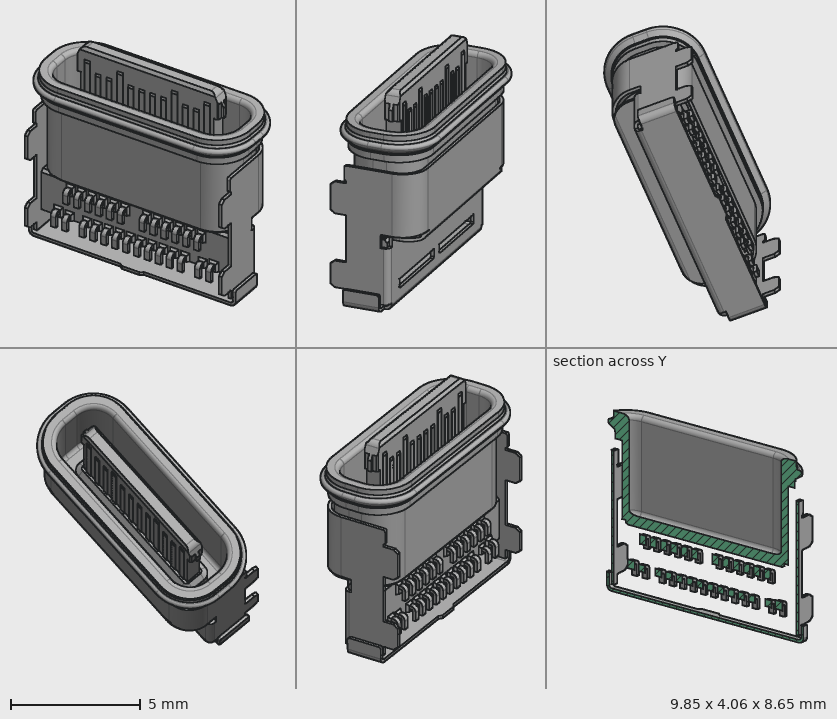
import cadquery as cq
import math


CORE_X = 3.18
CORE_Y = 0.285
BODY_OFFSET = 1.205
COLLAR_OFFSET = 1.445
RIM_OFFSET = 1.51
SEAL_ROOT_OFFSET = 1.47
SEAL_SHOULDER_OFFSET = 1.56
SEAL_OFFSET = 1.745
CAVITY_OFFSET = 0.99
CAVITY_LEAD_IN = 0.2
CAVITY_FLOOR_FILLET = 0.19

BODY_BOTTOM = 2.94
BODY_SKIRT = 3.107
BODY_STEP = 0.12
BODY_FOOT_REAR = 0.12
BODY_BOTTOM_CHAMFER = 0.07
CAVITY_FLOOR = 3.4
COLLAR_BOTTOM = 6.36
COLLAR_TOP = 6.67
SEAL_LOW = 6.74
SEAL_CREST = 6.95
SEAL_HIGH = 7.16
SEAL_TOP_FILLET = 0.14
SEAL_CREST_FILLET = 0.12
RIM_BOTTOM = 7.28
RIM_TOP = 7.51

TONGUE_TOP = 8.65
TONGUE_HALF_THICKNESS = 0.31
TONGUE_HALF_WIDTH = 3.25
TONGUE_TIP_HALF_WIDTH = 3.04
TONGUE_TIP_RADIUS = 0.3
TONGUE_RIB_HALF_WIDTH = 3.35
TONGUE_RIB_HALF_THICKNESS = 0.08
TONGUE_TAPER_START = 7.95
TONGUE_TIP_BEVEL_Y = 0.1
TONGUE_TIP_BEVEL_Z = 0.15
TONGUE_CORNER_CHAMFER = 0.05
TONGUE_NECK_HALF_WIDTH = 3.05
TONGUE_NOTCH_TOP = 7.48
TONGUE_BASE_HALF_THICKNESS = 0.655
TONGUE_BASE_HEIGHT = 1.2
TONGUE_BASE_BEVEL = 0.23
TONGUE_BASE_CORNER = 0.36

CONTACT_PITCH = 0.5
CONTACT_COUNT = 12
LONG_CONTACTS = (0, 3, 8, 11)
LONG_CONTACT_TOP = 8.11
SHORT_CONTACT_TOP = 7.65
LONG_CONTACT_WIDTH = 0.265
SHORT_CONTACT_WIDTH = 0.24
CONTACT_PROUD = 0.035
CONTACT_TIP_BEVEL = 0.1

SHEET = 0.14
SHELL_HALF_WIDTH = 4.525
SHELL_TOP = 5.85
SHELL_BACK = 1.62
SHELL_CORNER = 1.05
SIDE_BOTTOM_REAR = 3.22
SIDE_FRONT = -1.36
SIDE_NECK_BACK = 0.1
SIDE_NECK_FILLET = 0.06
EAR_FRONT = -1.44
EAR_BOTTOM = 5.27
EAR_FILLET = 0.09
SHELF_BOTTOM = BODY_BOTTOM
SHELF_HALF_WIDTH = 4.19
SHELF_CORNER = 0.87
SHELF_REAR_BEND = 0.18
LOWER_BACK = 0.45
LOWER_CORNER = 0.24
LOWER_TOP = 2.65
LOWER_BOTTOM = 0.3
LOWER_BEND_HALF_WIDTH = 4.235
FLOOR_FRONT = -1.385
SHELL_BEND = 0.26

TAB_REACH = -2.02
TAB_CORNER_Y = 0.19
TAB_CORNER_Z = 0.14
TAB_ROOT_FILLET = 0.04
UPPER_TAB_BOTTOM = 3.78
UPPER_TAB_TOP = 5.11
LOWER_TAB_BOTTOM = 0.69
LOWER_TAB_TOP = 1.8

FOOT_HALF_WIDTH = 4.755
FOOT_TOP = 0.757
FOOT_BACK = 0.12
FOOT_BEND = 0.26
FOOT_CORNER = 0.08

LIP_REACH = -1.49
LIP_TIP_HALF_WIDTH = 0.4
LIP_ROOT_HALF_WIDTH = 0.54

WINDOW_INNER = 0.25
WINDOW_OUTER = 3.51
WINDOW_BOTTOM = 0.656
WINDOW_TOP = 1.04
WINDOW_CHAMFER = 0.06

BLOCK_HALF_WIDTH = 4.36
BLOCK_FRONT = -1.1
BLOCK_BOTTOM = 1.137
BLOCK_CHAMFER = 0.12

TERMINAL_WIDTH = 0.24
TERMINAL_THICKNESS = 0.14
TERMINAL_FRONT = -1.49
TERMINAL_BEND = 0.21
UPPER_TERMINAL_BOTTOM = 2.06
LOWER_TERMINAL_BOTTOM = 0.817
BOSS_WIDTH = 0.43
END_BOSS_WIDTH = 0.47
BOSS_LENGTH = 0.12
BOSS_WALL_SLOPE = 0.095
UPPER_BOSS_TOP = 2.75
UPPER_BOSS_BOTTOM = 2.28
LOWER_BOSS_TOP = 1.505
END_BOSS_TOP = 1.575
UPPER_TERMINALS = (0.5, 1.0, 1.5, 2.0, 2.5, 3.0)
LOWER_TERMINALS = (0.25, 0.75, 1.25, 1.75, 2.25, 3.05)
END_TERMINAL = 3.56

OVERLAP = 0.02


def rounded_outline(plane, corners):
    """Closed outline through corners (u, v, radius); radius 0 leaves the corner sharp."""
    stretches = []
    for index, (u, v, radius) in enumerate(corners):
        corner = cq.Vector(u, v)
        before = cq.Vector(*corners[index - 1][:2]) - corner
        after = cq.Vector(*corners[(index + 1) % len(corners)][:2]) - corner
        if radius == 0:
            stretches.append((corner,))
            continue
        half_angle = before.getAngle(after) / 2
        setback = radius / math.tan(half_angle)
        bisector = (before.normalized() + after.normalized()).normalized()
        middle = corner + bisector * (radius / math.sin(half_angle) - radius)
        start = corner + before.normalized() * setback
        end = corner + after.normalized() * setback
        stretches.append((start, middle, end))

    first = stretches[0][0]
    outline = cq.Workplane(plane).moveTo(first.x, first.y)
    for number, stretch in enumerate(stretches):
        if number > 0:
            outline = outline.lineTo(stretch[0].x, stretch[0].y)
        if len(stretch) == 3:
            outline = outline.threePointArc(stretch[1].toTuple()[:2], stretch[2].toTuple()[:2])
    return outline.close()


def box(x_range, y_range, z_range):
    """Block spanning the given ranges."""
    size = [high - low for low, high in (x_range, y_range, z_range)]
    origin = (x_range[0], y_range[0], z_range[0])
    return cq.Workplane("XY").box(*size, centered=False).translate(origin)


def both_sides(shape):
    """The shape together with its mirror image across X = 0."""
    return shape.union(shape.mirror("YZ"))


def ring(offset, bottom, top, top_offset=None):
    """Rounded-rectangle prism around the core; it tapers when top_offset differs."""
    height = top - bottom
    taper = 0
    if top_offset is not None:
        taper = math.degrees(math.atan2(offset - top_offset, height))
    blank = cq.Sketch().rect(2 * (CORE_X + offset), 2 * (CORE_Y + offset)).vertices().fillet(offset)
    return cq.Workplane("XY", origin=(0, 0, bottom)).placeSketch(blank).extrude(height, taper=taper)


def edges_within(offset, height):
    """Selector for horizontal edges at the given height, no further out than the offset."""
    reach_x = CORE_X + offset + OVERLAP
    reach_y = CORE_Y + offset + OVERLAP
    return cq.selectors.BoxSelector(
        (-reach_x, -reach_y, height - OVERLAP), (reach_x, reach_y, height + OVERLAP), boundingbox=True
    )


def make_seal():
    """Rounded sealing bead that narrows toward the collar."""
    lower = ring(SEAL_ROOT_OFFSET, SEAL_LOW, SEAL_CREST, SEAL_OFFSET)
    upper = ring(SEAL_OFFSET, SEAL_CREST, SEAL_HIGH)
    seal = lower.union(upper).faces(">Z").edges().fillet(SEAL_TOP_FILLET)
    return seal.edges(edges_within(SEAL_OFFSET, SEAL_CREST)).fillet(SEAL_CREST_FILLET)


def make_body():
    """Stack of rings with a seal, hollowed from the top; the foot leaves room for the shell's shelf."""
    foot = ring(BODY_OFFSET - BODY_STEP, BODY_BOTTOM, BODY_SKIRT).faces("<Z").chamfer(BODY_BOTTOM_CHAMFER)
    shelf_space = box(
        (-SHELL_HALF_WIDTH, SHELL_HALF_WIDTH), (BODY_FOOT_REAR, SHELL_BACK), (BODY_BOTTOM, BODY_SKIRT)
    )
    foot = foot.cut(shelf_space)
    lower = ring(BODY_OFFSET, BODY_SKIRT, COLLAR_BOTTOM).union(foot)
    collar = ring(COLLAR_OFFSET, COLLAR_BOTTOM, COLLAR_TOP)
    root = ring(SEAL_ROOT_OFFSET, COLLAR_TOP, SEAL_LOW)
    shoulder = ring(SEAL_SHOULDER_OFFSET, SEAL_HIGH, RIM_BOTTOM, RIM_OFFSET)
    rim = ring(RIM_OFFSET, RIM_BOTTOM, RIM_TOP)
    cavity = ring(CAVITY_OFFSET, CAVITY_FLOOR, RIM_TOP).faces("<Z").edges().fillet(CAVITY_FLOOR_FILLET)
    body = lower.union(collar).union(root).union(make_seal()).union(shoulder).union(rim)
    return body.cut(cavity).edges(edges_within(CAVITY_OFFSET, RIM_TOP)).fillet(CAVITY_LEAD_IN)


def make_contact(x, width, top):
    """Contact strip standing proud of both tongue faces, with a bevelled tip."""
    reach = TONGUE_HALF_THICKNESS + CONTACT_PROUD
    inner = TONGUE_HALF_THICKNESS
    strip = (
        cq.Workplane("YZ")
        .polyline([
            (-reach, CAVITY_FLOOR), (reach, CAVITY_FLOOR), (reach, top - CONTACT_TIP_BEVEL),
            (inner, top), (-inner, top), (-reach, top - CONTACT_TIP_BEVEL),
        ])
        .close()
        .extrude(width / 2, both=True)
    )
    return strip.translate((x, 0, 0))


def tongue_profile(thickness):
    """Tongue outline seen along Y, out to the end ribs, with a notched-in neck below them."""
    right_edge = [
        (TONGUE_NECK_HALF_WIDTH, CAVITY_FLOOR - OVERLAP, 0),
        (TONGUE_NECK_HALF_WIDTH, TONGUE_NOTCH_TOP, 0),
        (TONGUE_RIB_HALF_WIDTH, TONGUE_NOTCH_TOP, 0),
        (TONGUE_RIB_HALF_WIDTH, TONGUE_TAPER_START, 0),
        (TONGUE_TIP_HALF_WIDTH, TONGUE_TOP, TONGUE_TIP_RADIUS),
    ]
    left_edge = [(-x, z, radius) for x, z, radius in reversed(right_edge)]
    return rounded_outline("XZ", right_edge + left_edge).extrude(thickness / 2, both=True)


def make_tongue():
    """Tongue with tapered ends, a thicker bevelled base and a row of contacts on both faces."""
    bottom = CAVITY_FLOOR - OVERLAP
    plate = (
        cq.Workplane("XY", origin=(0, 0, bottom))
        .rect(2 * TONGUE_HALF_WIDTH, 2 * TONGUE_HALF_THICKNESS)
        .extrude(TONGUE_TOP - bottom)
        .edges("|Z")
        .chamfer(TONGUE_CORNER_CHAMFER)
        .intersect(tongue_profile(2 * TONGUE_HALF_THICKNESS))
    )
    half = TONGUE_HALF_THICKNESS
    tip = half - TONGUE_TIP_BEVEL_Y
    bevel_start = TONGUE_TOP - TONGUE_TIP_BEVEL_Z
    section = (
        cq.Workplane("YZ")
        .polyline([
            (-half, bottom), (half, bottom), (half, bevel_start),
            (tip, TONGUE_TOP), (-tip, TONGUE_TOP), (-half, bevel_start),
        ])
        .close()
        .extrude(TONGUE_RIB_HALF_WIDTH, both=True)
    )
    base = (
        cq.Workplane("XY", origin=(0, 0, bottom))
        .rect(2 * TONGUE_RIB_HALF_WIDTH, 2 * TONGUE_BASE_HALF_THICKNESS)
        .extrude(TONGUE_BASE_HEIGHT)
        .edges("|Z")
        .fillet(TONGUE_BASE_CORNER)
        .faces(">Z")
        .chamfer(TONGUE_BASE_BEVEL)
    )
    tongue = plate.union(tongue_profile(2 * TONGUE_RIB_HALF_THICKNESS)).intersect(section).union(base)
    for index in range(CONTACT_COUNT):
        x = (index - (CONTACT_COUNT - 1) / 2) * CONTACT_PITCH
        if index in LONG_CONTACTS:
            tongue = tongue.union(make_contact(x, LONG_CONTACT_WIDTH, LONG_CONTACT_TOP))
        else:
            tongue = tongue.union(make_contact(x, SHORT_CONTACT_WIDTH, SHORT_CONTACT_TOP))
    return tongue


def wrap(back, corner, bottom, top):
    """Sheet wall open to the front: two sides joined by a back with rounded corners."""
    depth = back - TAB_REACH

    def prism(half_width, rear, radius):
        blank = cq.Workplane("XY", origin=(0, rear - depth / 2, bottom)).rect(2 * half_width, depth)
        return blank.extrude(top - bottom).edges("|Z and >Y").fillet(radius)

    outer = prism(SHELL_HALF_WIDTH, back, corner)
    return outer.cut(prism(SHELL_HALF_WIDTH - SHEET, back - SHEET, corner - SHEET))


def tab_corners(bottom, top):
    """Corners of one board tab, from its bottom root to its top root."""
    return [
        (SIDE_FRONT, bottom, TAB_ROOT_FILLET),
        (TAB_REACH + TAB_CORNER_Y, bottom, 0),
        (TAB_REACH, bottom + TAB_CORNER_Z, 0),
        (TAB_REACH, top - TAB_CORNER_Z, 0),
        (TAB_REACH + TAB_CORNER_Y, top, 0),
        (SIDE_FRONT, top, TAB_ROOT_FILLET),
    ]


def side_outline():
    """Outline, seen along X, that the folded shell walls are trimmed to."""
    corners = [
        (SHELL_BACK, SHELL_TOP, 0),
        (SHELL_BACK, SIDE_BOTTOM_REAR, 0),
        (SIDE_NECK_BACK, SIDE_BOTTOM_REAR, SIDE_NECK_FILLET),
        (SIDE_NECK_BACK, LOWER_TOP, 0),
        (LOWER_BACK, LOWER_TOP, 0),
        (LOWER_BACK, LOWER_BOTTOM, 0),
        (SIDE_FRONT, LOWER_BOTTOM, 0),
    ]
    corners += tab_corners(LOWER_TAB_BOTTOM, LOWER_TAB_TOP)
    corners += tab_corners(UPPER_TAB_BOTTOM, UPPER_TAB_TOP)
    corners += [
        (SIDE_FRONT, EAR_BOTTOM - (SIDE_FRONT - EAR_FRONT), 0),
        (EAR_FRONT, EAR_BOTTOM, 0),
        (EAR_FRONT, SHELL_TOP, EAR_FILLET),
    ]
    return rounded_outline("YZ", corners).extrude(SHELL_HALF_WIDTH, both=True)


def strip(corners, half_width):
    """Folded sheet strip with the given YZ section, centred on X = 0."""
    return rounded_outline("YZ", corners).extrude(half_width, both=True)


def make_windows():
    """Two openings in the lower back wall, chamfered at their bottom corners."""
    window = (
        box((WINDOW_INNER, WINDOW_OUTER), (LOWER_BACK - SHEET, LOWER_BACK), (WINDOW_BOTTOM, WINDOW_TOP))
        .edges("|Y and <Z")
        .chamfer(WINDOW_CHAMFER)
    )
    return both_sides(window)


def make_shell():
    """Folded sheet: side walls and backs, the shelf between the two backs, and the floor with its feet."""
    upper = wrap(SHELL_BACK, SHELL_CORNER, LOWER_TOP, SHELL_TOP)
    lower = wrap(LOWER_BACK, LOWER_CORNER, LOWER_BOTTOM, LOWER_TOP)
    walls = upper.union(lower).intersect(side_outline())

    inner_bend = SHELL_BEND - SHEET
    shelf_top = SHELF_BOTTOM + SHEET
    shelf = strip([
        (SHELL_BACK, SIDE_BOTTOM_REAR, 0),
        (SHELL_BACK, SHELF_BOTTOM, SHELF_REAR_BEND),
        (LOWER_BACK, SHELF_BOTTOM, 0),
        (LOWER_BACK, LOWER_TOP, 0),
        (LOWER_BACK - SHEET, LOWER_TOP, 0),
        (LOWER_BACK - SHEET, shelf_top, inner_bend),
        (SHELL_BACK - SHEET, shelf_top, SHELF_REAR_BEND - SHEET),
        (SHELL_BACK - SHEET, SIDE_BOTTOM_REAR, 0),
    ], SHELF_HALF_WIDTH)
    shelf_plan = box(
        (-SHELF_HALF_WIDTH, SHELF_HALF_WIDTH),
        (SIDE_NECK_BACK, SHELL_BACK),
        (LOWER_TOP, SIDE_BOTTOM_REAR),
    )
    shelf = shelf.intersect(shelf_plan.edges("|Z and >Y").fillet(SHELF_CORNER))
    floor = strip([
        (LOWER_BACK, LOWER_BOTTOM, 0),
        (LOWER_BACK, 0, SHELL_BEND),
        (FLOOR_FRONT, 0, 0),
        (FLOOR_FRONT, SHEET, 0),
        (LOWER_BACK - SHEET, SHEET, inner_bend),
        (LOWER_BACK - SHEET, LOWER_BOTTOM, 0),
    ], LOWER_BEND_HALF_WIDTH)
    return walls.union(shelf).union(floor).union(make_lip()).union(make_feet()).cut(make_windows())


def make_lip():
    """Small trapezoid at the middle of the floor's front edge."""
    return (
        cq.Workplane("XY")
        .polyline([
            (-LIP_ROOT_HALF_WIDTH, FLOOR_FRONT), (-LIP_TIP_HALF_WIDTH, LIP_REACH),
            (LIP_TIP_HALF_WIDTH, LIP_REACH), (LIP_ROOT_HALF_WIDTH, FLOOR_FRONT),
        ])
        .close()
        .extrude(SHEET)
    )


def make_feet():
    """Upturned flanges at both ends of the floor."""
    foot_inner = FOOT_HALF_WIDTH - SHEET
    root = LOWER_BEND_HALF_WIDTH - OVERLAP
    foot = rounded_outline(cq.Plane.XZ((0, FOOT_BACK, 0)), [
        (root, 0, 0),
        (FOOT_HALF_WIDTH, 0, FOOT_BEND),
        (FOOT_HALF_WIDTH, FOOT_TOP, 0),
        (foot_inner, FOOT_TOP, 0),
        (foot_inner, SHEET, FOOT_BEND - SHEET),
        (root, SHEET, 0),
    ]).extrude(FOOT_BACK - FLOOR_FRONT)
    return both_sides(foot.edges("|X and >Z").fillet(FOOT_CORNER))


def make_block():
    """Plastic block that carries the solder terminals."""
    block = box(
        (-BLOCK_HALF_WIDTH, BLOCK_HALF_WIDTH),
        (BLOCK_FRONT, LOWER_BACK - SHEET),
        (BLOCK_BOTTOM, BODY_BOTTOM + OVERLAP),
    )
    return block.edges("|X and >Z").chamfer(BLOCK_CHAMFER)


def make_terminal(x, boss_width, boss_top, boss_bottom, tip_bottom):
    """Solder terminal with the tapered boss it leaves the block through."""
    root_half = boss_width / 2
    tip_half = root_half - BOSS_WALL_SLOPE
    boss = (
        cq.Workplane("XY", origin=(x, BLOCK_FRONT + OVERLAP, boss_bottom))
        .polyline([
            (-root_half, 0), (root_half, 0), (tip_half, -BOSS_LENGTH), (-tip_half, -BOSS_LENGTH),
        ])
        .close()
        .extrude(boss_top - boss_bottom)
        .faces("<Y")
        .edges(">Z")
        .chamfer(BOSS_WALL_SLOPE, BOSS_LENGTH - OVERLAP)
    )
    top = boss_top - BOSS_WALL_SLOPE
    root = BLOCK_FRONT + OVERLAP
    terminal = rounded_outline("YZ", [
        (root, top, 0),
        (TERMINAL_FRONT, top, TERMINAL_BEND),
        (TERMINAL_FRONT, tip_bottom, 0),
        (TERMINAL_FRONT + TERMINAL_THICKNESS, tip_bottom, 0),
        (TERMINAL_FRONT + TERMINAL_THICKNESS, top - TERMINAL_THICKNESS, TERMINAL_BEND - TERMINAL_THICKNESS),
        (root, top - TERMINAL_THICKNESS, 0),
    ])
    terminal = terminal.extrude(TERMINAL_WIDTH / 2, both=True).translate((x, 0, 0))
    return boss.union(terminal)


def make_terminal_block():
    """Block with its upper and lower rows of terminals, symmetric about X = 0."""
    terminals = []
    for x in UPPER_TERMINALS:
        terminals.append(
            make_terminal(x, BOSS_WIDTH, UPPER_BOSS_TOP, UPPER_BOSS_BOTTOM, UPPER_TERMINAL_BOTTOM)
        )
    for x in LOWER_TERMINALS:
        terminals.append(make_terminal(x, BOSS_WIDTH, LOWER_BOSS_TOP, BLOCK_BOTTOM, LOWER_TERMINAL_BOTTOM))
    terminals.append(
        make_terminal(END_TERMINAL, END_BOSS_WIDTH, END_BOSS_TOP, BLOCK_BOTTOM, LOWER_TERMINAL_BOTTOM)
    )
    block = make_block()
    for terminal in terminals:
        block = block.union(both_sides(terminal))
    return block


result = make_body().union(make_tongue()).union(make_terminal_block()).union(make_shell())